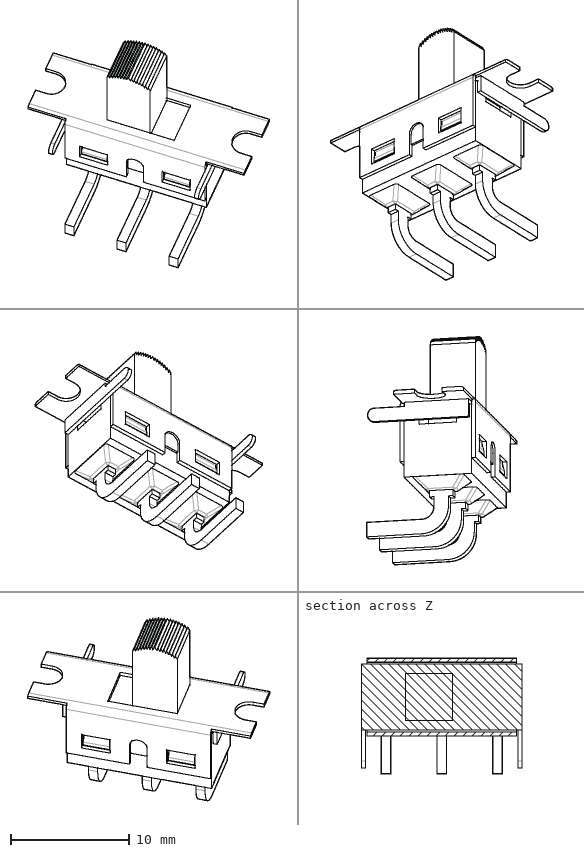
import cadquery as cq
import math


overall_length = 19.56
overall_width = 9.78
overall_height = 18.35

cover_length = overall_length
cover_width = 6.6
sheet = 0.35
bend_outer_radius = 0.57
bend_inner_radius = 0.14
ear_width = 6.08
wall_length = 12.67
wall_depth = 5.38
notch_dia = 2.4
notch_centre_inset = 0.98
opening_length = 6.1
tongue_slot_width = 1.55
tongue_top_z = -2.56

latch_x = 3.74
window_length = 2.52
window_top_z = -3.07
window_bottom_z = -4.54
latch_length = 2.29
latch_top_z = -3.27
latch_ridge_z = -4.0
latch_bottom_z = -4.3
latch_height = 0.2

bracket_plate_width = 5.6
bracket_gap = 0.1
leg_width = 1.17
leg_tip_y = -6.0

housing_length = wall_length
housing_width = cover_width - 2 * sheet
housing_top_z = -2 * sheet
housing_bottom_z = -6.75
tongue_width = 1.43
tongue_height = 0.18
channel_width = 3.27
channel_bottom_z = -2.21

terminal_pitch = 4.71
terminal_places = [-terminal_pitch, 0, terminal_pitch]
boss_length = 3.17
boss_width = 4.45
boss_height = 1.0
boss_taper = 45
boss_round = 0.4

slider_size = 3.93
slider_x = (slider_size - opening_length) / 2
slider_peak_z = 6.89
slider_edge_z = 6.0
crown_radius = 3.23
tooth_pitch = 0.25
tooth_depth = 0.31
teeth_per_side = 7
valley_position = 0.75
carriage_length = 8.05

terminal_thickness = 0.82
neck_width = 2.03
neck_length = 0.55
pin_width = 1.27
pin_inner_radius = 1.04
pin_tip_y = cover_width / 2 - overall_width
pin_bottom_z = slider_peak_z - overall_height


def block(length, width, bottom_z, top_z, x=0):
    """Box centred on x and on Y = 0, between two heights."""
    return (
        cq.Workplane("XY", origin=(x, 0, bottom_z))
        .rect(length, width)
        .extrude(top_z - bottom_z)
    )


def arched_prism(width, bottom_z, top_z, y_back, y_front):
    """Upright round-topped prism centred on X = 0, from y_back to y_front (towards -Y)."""
    half = width / 2
    spring_z = top_z - half
    return (
        cq.Workplane("XZ", origin=(0, y_back, 0))
        .moveTo(-half, bottom_z)
        .lineTo(-half, spring_z)
        .threePointArc((0, top_z), (half, spring_z))
        .lineTo(half, bottom_z)
        .close()
        .extrude(y_back - y_front)
    )


def make_cover():
    skin = block(cover_length, cover_width, -wall_depth, 0).edges("|X and >Z").fillet(bend_outer_radius)
    cavity = (
        block(cover_length, housing_width, -wall_depth, -sheet)
        .edges("|X and >Z")
        .fillet(bend_inner_radius)
    )
    channel = skin.cut(cavity).intersect(block(wall_length, cover_width, -wall_depth, 0))

    plate = skin.intersect(block(cover_length, ear_width, -sheet, 0))
    cover = channel.union(plate)

    for side in (-1, 1):
        centre_x = side * (cover_length / 2 - notch_centre_inset)
        cover = cover.cut(cq.Workplane("XY").center(centre_x, 0).circle(notch_dia / 2).extrude(-sheet))
        cover = cover.cut(
            block(notch_centre_inset, notch_dia, -sheet, 0, x=centre_x + side * notch_centre_inset / 2)
        )

    cover = cover.cut(block(opening_length, slider_size, -sheet, 0))

    for x in (-latch_x, latch_x):
        cover = cover.cut(block(window_length, cover_width, window_bottom_z, window_top_z, x=x))
    slot = arched_prism(tongue_slot_width, -wall_depth, tongue_top_z, cover_width / 2, -cover_width / 2)
    return cover.cut(slot)


def make_bracket():
    leg_inner_x = housing_length / 2 + bracket_gap
    leg_outer_x = leg_inner_x + sheet
    leg_bottom_z = housing_top_z - leg_width
    plate_edge_y = bracket_plate_width / 2

    bracket = block(2 * leg_outer_x, bracket_plate_width, housing_top_z, -sheet)

    for start_x in (-leg_outer_x, leg_inner_x):
        leg = (
            cq.Workplane("YZ", origin=(start_x, 0, 0))
            .moveTo(plate_edge_y, housing_top_z)
            .lineTo(leg_tip_y + leg_width / 2, housing_top_z)
            .threePointArc(
                (leg_tip_y, housing_top_z - leg_width / 2),
                (leg_tip_y + leg_width / 2, leg_bottom_z),
            )
            .lineTo(plate_edge_y, leg_bottom_z)
            .close()
            .extrude(sheet)
        )
        bracket = bracket.union(leg)

    return bracket.cut(block(slider_size, slider_size, housing_top_z, -sheet, x=slider_x))


def make_latch(x):
    """Wedge on the -Y wall of the housing, sloping outward down to its ridge."""
    wall_y = -housing_width / 2
    return (
        cq.Workplane("YZ", origin=(x - latch_length / 2, 0, 0))
        .polyline([
            (wall_y, latch_top_z),
            (wall_y - latch_height, latch_ridge_z),
            (wall_y - latch_height, latch_bottom_z),
            (wall_y, latch_bottom_z),
        ])
        .close()
        .extrude(latch_length)
    )


def make_boss(x):
    """Tapered boss under the housing, with rounded corners and bottom edge."""
    boss = (
        cq.Workplane("XY", origin=(x, 0, housing_bottom_z))
        .rect(boss_length, boss_width)
        .extrude(-boss_height, taper=boss_taper)
    )
    return boss.edges("not >Z").fillet(boss_round)


def make_housing():
    housing = block(housing_length, housing_width, housing_bottom_z, housing_top_z)

    wall_y = -housing_width / 2
    tongue = arched_prism(tongue_width, latch_bottom_z, tongue_top_z, wall_y, wall_y - tongue_height)
    for feature in (tongue, make_latch(-latch_x), make_latch(latch_x)):
        housing = housing.union(feature).union(feature.mirror("XZ"))

    for x in terminal_places:
        housing = housing.union(make_boss(x))

    return housing.cut(block(housing_length, channel_width, channel_bottom_z, housing_top_z))


def crown_z(x):
    """Height of the tooth tips at a distance x from the slider centre."""
    return slider_peak_z - crown_radius + math.sqrt(crown_radius**2 - x**2)


def make_slider():
    right_half = []
    for tooth in range(teeth_per_side):
        valley_x = (tooth + valley_position) * tooth_pitch
        tip_x = (tooth + 1) * tooth_pitch
        right_half.append((valley_x, crown_z(valley_x) - tooth_depth))
        right_half.append((tip_x, crown_z(tip_x)))
    left_half = [(-x, z) for x, z in reversed(right_half)]

    half = slider_size / 2
    outline = [(-half, housing_top_z), (-half, slider_edge_z)]
    outline += left_half + [(0, slider_peak_z)] + right_half
    outline += [(half, slider_edge_z), (half, housing_top_z)]
    handle = (
        cq.Workplane("XZ", origin=(slider_x, 0, 0))
        .polyline(outline)
        .close()
        .extrude(slider_size / 2, both=True)
    )

    carriage = block(carriage_length, channel_width, channel_bottom_z, housing_top_z, x=slider_x)
    return handle.union(carriage)


def make_terminal(x):
    """Terminal with a wide neck and a pin that bends towards -Y."""
    top_z = housing_bottom_z - boss_height
    neck_bottom_z = top_z - neck_length
    pin_half = pin_width / 2
    foot_top_z = pin_bottom_z + pin_width
    bend_y = -pin_half - pin_inner_radius
    bend_z = foot_top_z + pin_inner_radius
    pin_outer_radius = pin_inner_radius + pin_width
    diagonal = math.sqrt(0.5)

    neck = block(terminal_thickness, neck_width, neck_bottom_z, top_z, x=x)
    pin = (
        cq.Workplane("YZ", origin=(x, 0, 0))
        .moveTo(pin_half, neck_bottom_z)
        .lineTo(pin_half, bend_z)
        .threePointArc(
            (bend_y + pin_outer_radius * diagonal, bend_z - pin_outer_radius * diagonal),
            (bend_y, pin_bottom_z),
        )
        .lineTo(pin_tip_y, pin_bottom_z)
        .lineTo(pin_tip_y, foot_top_z)
        .lineTo(bend_y, foot_top_z)
        .threePointArc(
            (bend_y + pin_inner_radius * diagonal, bend_z - pin_inner_radius * diagonal),
            (-pin_half, bend_z),
        )
        .lineTo(-pin_half, neck_bottom_z)
        .close()
        .extrude(terminal_thickness / 2, both=True)
    )
    return neck.union(pin)


cover = make_cover()
bracket = make_bracket()
housing = make_housing()
slider = make_slider()
terminals = [make_terminal(x) for x in terminal_places]

result = cq.Compound.makeCompound([
    cover.val(),
    bracket.val(),
    housing.val(),
    slider.val(),
    *[terminal.val() for terminal in terminals],
])